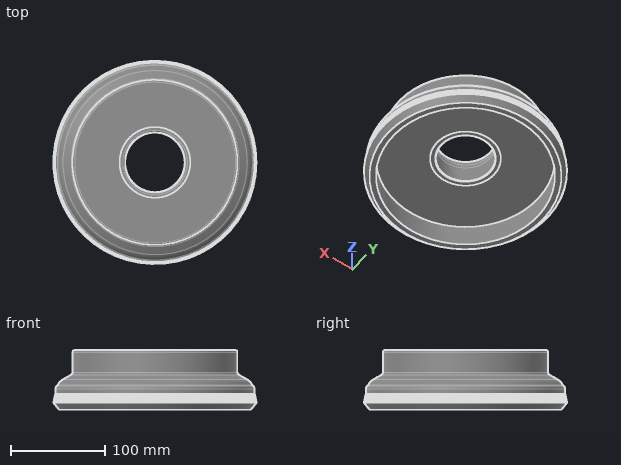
import cadquery as cq
import math

total_height = 63.5
cavity_height = 28.7

drum_radius = 87.5
drum_edge_round = 2.2
neck_round = 3.0
neck_top = 40.0
shoulder_slope = math.radians(30)

shoulder_radius = 97.7
dome_end_radius = 103.3
dome_end_height = 26.3
bevel_size = 0.6
skirt_radius = 105.7
skirt_round_base = 22.5
cavity_radius = 95.0

rim_radius = 107.9
rim_base_height = 7.3
rim_taper_base = 8.0
rim_top_height = 16.8
rim_top_radius = 106.4
rim_top_bevel = 0.6
rim_bottom_radius = 101.8

lone_groove_height = 9.3
first_groove_height = 11.5
groove_count = 4
groove_pitch = 1.3
groove_width = 0.6
groove_depth = 0.2

sleeve_radius = 37.5
sleeve_recess = 0.6
sleeve_top = total_height - sleeve_recess
mouth_round = 2.2
mouth_radius = 32.1
entry_radius = 31.7
bore_radius = 31.5
entry_height = 56.0
bore_top = 51.1
bore_chamfer = 0.6

quarter_round_inset = 1 - math.sqrt(0.5)


def arc_middle(start, end, start_slope):
    """Middle point of the arc that leaves start at start_slope below the horizontal."""
    dx = end[0] - start[0]
    dz = end[1] - start[1]
    chord = math.hypot(dx, dz)
    turn = math.atan2(-dz, dx) - start_slope
    sagitta = chord / 2 * math.tan(turn / 2)
    return (
        (start[0] + end[0]) / 2 - dz / chord * sagitta,
        (start[1] + end[1]) / 2 + dx / chord * sagitta,
    )


def spin(profile):
    """Solid of revolution of a closed profile around the Z axis."""
    return profile.revolve(360, (0, 0), (0, 1))


def make_housing_blank():
    """Drum, domed shoulder, skirt and rim, hollow underneath, with a hole for the sleeve."""
    neck_start = (drum_radius, neck_top)
    neck_end = (
        drum_radius + neck_round * (1 - math.sin(shoulder_slope)),
        neck_top - neck_round * math.cos(shoulder_slope),
    )
    shoulder_end = (
        shoulder_radius,
        neck_end[1] - (shoulder_radius - neck_end[0]) * math.tan(shoulder_slope),
    )
    dome_end = (dome_end_radius, dome_end_height)
    bevel_end = (dome_end_radius + bevel_size, dome_end_height - bevel_size)
    skirt_top = (skirt_radius, skirt_round_base)
    skirt_chord_slope = math.atan2(bevel_end[1] - skirt_top[1], skirt_top[0] - bevel_end[0])
    skirt_start_slope = 2 * skirt_chord_slope - math.pi / 2
    edge_inset = drum_edge_round * quarter_round_inset

    return spin(
        cq.Workplane("XZ")
        .moveTo(sleeve_radius, total_height)
        .lineTo(drum_radius - drum_edge_round, total_height)
        .threePointArc(
            (drum_radius - edge_inset, total_height - edge_inset),
            (drum_radius, total_height - drum_edge_round),
        )
        .lineTo(*neck_start)
        .threePointArc(arc_middle(neck_start, neck_end, math.pi / 2), neck_end)
        .lineTo(*shoulder_end)
        .threePointArc(arc_middle(shoulder_end, dome_end, shoulder_slope), dome_end)
        .lineTo(*bevel_end)
        .threePointArc(arc_middle(bevel_end, skirt_top, skirt_start_slope), skirt_top)
        .lineTo(skirt_radius, rim_top_height)
        .lineTo(rim_top_radius, rim_top_height - rim_top_bevel)
        .lineTo(rim_radius, rim_taper_base)
        .lineTo(rim_radius, rim_base_height)
        .lineTo(rim_bottom_radius, 0)
        .lineTo(cavity_radius, 0)
        .lineTo(cavity_radius, cavity_height)
        .lineTo(sleeve_radius, cavity_height)
        .close()
    )


def rim_side_radius(height):
    """Radius of the tapered rim side at a height."""
    taper_height = rim_top_height - rim_top_bevel - rim_taper_base
    fraction = (height - rim_taper_base) / taper_height
    return rim_radius + (rim_top_radius - rim_radius) * fraction


def make_rim_groove(height):
    """Ring that cuts one groove into the rim side, its lower wall at the given height."""
    return (
        cq.Workplane("XY", origin=(0, 0, height))
        .circle(rim_radius + groove_depth)
        .circle(rim_side_radius(height) - groove_depth)
        .extrude(groove_width)
    )


def make_housing():
    """Housing with the fine grooves around its rim."""
    body = make_housing_blank().cut(make_rim_groove(lone_groove_height))
    for index in range(groove_count):
        body = body.cut(make_rim_groove(first_groove_height + index * groove_pitch))
    return body


def make_sleeve():
    """Sleeve with a rounded mouth and a bore that narrows in two slight tapers."""
    mouth_inset = mouth_round * quarter_round_inset
    return spin(
        cq.Workplane("XZ")
        .moveTo(sleeve_radius, sleeve_top)
        .lineTo(sleeve_radius, cavity_height)
        .lineTo(bore_radius + bore_chamfer, cavity_height)
        .lineTo(bore_radius, cavity_height + bore_chamfer)
        .lineTo(bore_radius, bore_top)
        .lineTo(entry_radius, entry_height)
        .lineTo(mouth_radius, sleeve_top - mouth_round)
        .threePointArc(
            (mouth_radius + mouth_inset, sleeve_top - mouth_inset),
            (mouth_radius + mouth_round, sleeve_top),
        )
        .close()
    )


housing = make_housing()
sleeve = make_sleeve()
result = cq.Compound.makeCompound([housing.val(), sleeve.val()])